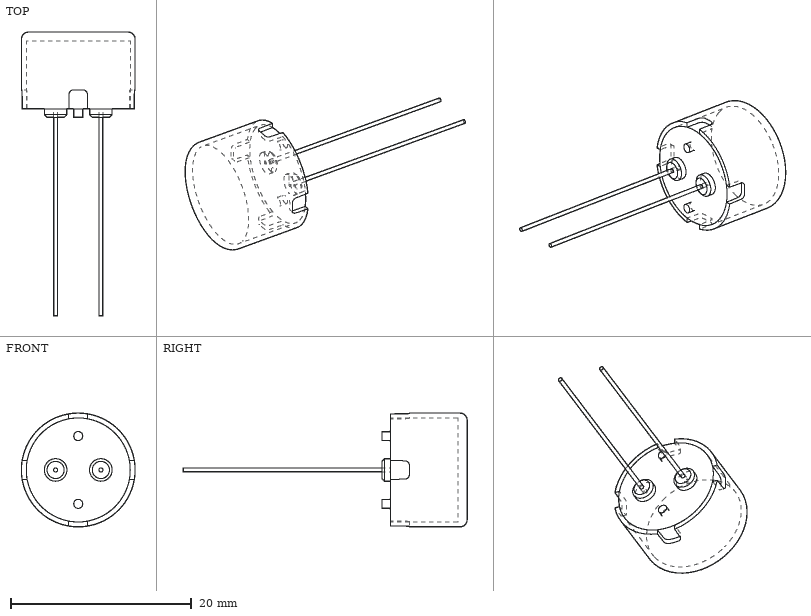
import cadquery as cq

case_diameter = 12.6
case_length = 8.5
case_bore = 11.5
case_end_wall = 1.0
case_back_fillet = 0.8

slot_inner_width = 2.0
slot_mouth_width = 2.1
slot_depth = 2.1
slot_corner_radius = 0.5
slot_count = 4

boss_diameter = 2.5
boss_height = 0.95
boss_chamfer = 0.3
stud_diameter = 1.0
stud_height = boss_height
stud_spacing = 7.5
stud_root_fillet = 0.1

pin_diameter = 0.45
pin_spacing = 5.0
overall_length = 31.4

rim_y = 0.0
case_back_y = rim_y + case_length
bore_end_y = case_back_y - case_end_wall
boss_face_y = rim_y - boss_height
stud_face_y = rim_y - stud_height
pin_tip_y = case_back_y - overall_length
pin_root_y = rim_y

pin_xs = (-pin_spacing / 2, pin_spacing / 2)
stud_zs = (-stud_spacing / 2, stud_spacing / 2)


def cylinder_y(diameter, front_y, back_y, x=0.0, z=0.0):
    """A cylinder along Y between two places."""
    plane = cq.Plane(origin=(x, front_y, z), xDir=(1, 0, 0), normal=(0, 1, 0))
    return cq.Workplane(plane).circle(diameter / 2).extrude(back_y - front_y)


def make_slot_cutter():
    """Cutter for the +Z slot: it widens slightly towards the rim and has rounded inner corners."""
    half_inner = slot_inner_width / 2
    half_mouth = slot_mouth_width / 2
    slot_end_y = rim_y + slot_depth
    outline = [
        (-half_mouth, rim_y),
        (-half_inner, slot_end_y),
        (half_inner, slot_end_y),
        (half_mouth, rim_y),
    ]
    cutter = cq.Workplane("XY").polyline(outline).close().extrude(case_diameter)
    return cutter.edges("|Z and >Y").fillet(slot_corner_radius)


def make_case():
    case = cylinder_y(case_diameter, rim_y, case_back_y)
    case = case.faces(">Y").edges().fillet(case_back_fillet)
    case = case.cut(cylinder_y(case_bore, rim_y, bore_end_y))
    slot_cutter = make_slot_cutter()
    for index in range(slot_count):
        angle = index * 360 / slot_count
        case = case.cut(slot_cutter.rotate((0, 0, 0), (0, 1, 0), angle))
    return case


def make_boss(x):
    boss = cylinder_y(boss_diameter, boss_face_y, rim_y, x=x)
    return boss.faces("<Y").edges().chamfer(boss_chamfer)


def make_stud(z):
    """A stud whose root flares out into the base through a concave fillet."""
    radius = stud_diameter / 2
    root_radius = radius + stud_root_fillet
    fillet_end_y = rim_y - stud_root_fillet
    profile = (
        cq.Workplane("XY")
        .moveTo(0, rim_y)
        .lineTo(root_radius, rim_y)
        .radiusArc((radius, fillet_end_y), -stud_root_fillet)
        .lineTo(radius, stud_face_y)
        .lineTo(0, stud_face_y)
        .close()
    )
    return profile.revolve(360, (0, 0, 0), (0, 1, 0)).translate((0, 0, z))


def make_pin(x):
    return cylinder_y(pin_diameter, pin_tip_y, pin_root_y, x=x)


def make_base(lead_pins):
    base = cylinder_y(case_bore, rim_y, bore_end_y)
    for x in pin_xs:
        base = base.union(make_boss(x))
    for z in stud_zs:
        base = base.union(make_stud(z))
    for pin in lead_pins:
        base = base.cut(pin)
    return base


case = make_case()
pins = [make_pin(x) for x in pin_xs]
base = make_base(pins)

result = cq.Compound.makeCompound([case.val(), base.val(), *[pin.val() for pin in pins]])